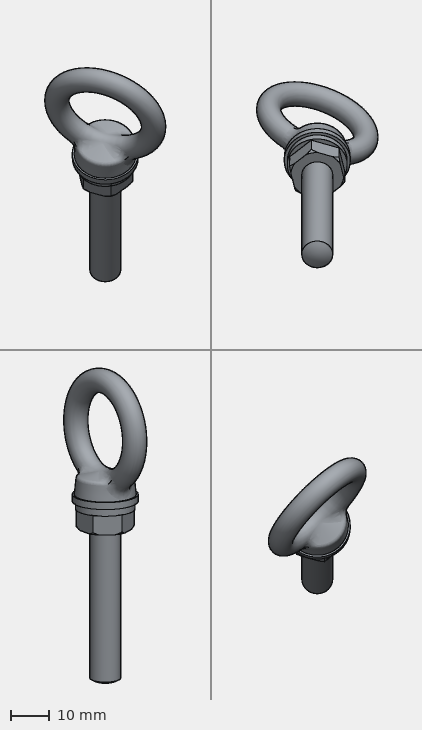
import cadquery as cq
import math

eye_diameter = 20.0
wire_diameter = 6.3
wire_radius = wire_diameter / 2
ring_radius = (eye_diameter + wire_diameter) / 2

hex_height = 5.3
collar_diameter = 15.4
collar_height = 2.0
flange_diameter = 17.0
flange_height = 1.85
collar_bottom = hex_height
flange_bottom = collar_bottom + collar_height
base_bottom = flange_bottom + flange_height

base_bottom_radius = 8.0
base_side_height = 4.9
base_side_draft = 6.0
rim_fillet = 1.0
ring_blend = 3.5
base_top_radius = base_bottom_radius - base_side_height * math.tan(math.radians(base_side_draft))
rim_level = base_bottom + base_side_height
ring_center_level = 26.0
apex_drop = 0.02
apex_level = ring_center_level - eye_diameter / 2 - apex_drop

hex_across_flats = 13.0
hex_across_corners = hex_across_flats / math.cos(math.pi / 6)
hex_end_radius = 6.8
hex_chamfer_angle = 45.0
stud_diameter = 8.0
stud_radius = stud_diameter / 2
stud_length = 39.8
tip_height = 1.2


def make_eye():
    """Round-wire ring blended into a tapered base."""
    base = (
        cq.Workplane("XZ")
        .moveTo(0, base_bottom)
        .lineTo(base_bottom_radius, base_bottom)
        .lineTo(base_top_radius, rim_level)
        .lineTo(0, apex_level)
        .close()
        .revolve(360, (0, 0, 0), (0, 1, 0))
    )
    rim = cq.selectors.NearestToPointSelector((0, 0, rim_level))
    base = base.edges("%CIRCLE").edges(rim).fillet(rim_fillet)
    ring_center = cq.Vector(0, 0, ring_center_level)
    ring_axis = cq.Vector(0, 1, 0)
    ring = cq.Workplane(cq.Solid.makeTorus(ring_radius, wire_radius, ring_center, ring_axis))
    return base.union(ring).edges("%BSPLINE").fillet(ring_blend)


def make_disc(diameter, height, bottom):
    """Plain round disc in the stack between the eye and the hexagon."""
    return cq.Workplane("XY", origin=(0, 0, bottom)).circle(diameter / 2).extrude(height)


def make_stud():
    """Hexagon, chamfered at its lower corners, with a round-ended stud below it."""
    hexagon = cq.Workplane("XY").polygon(6, hex_across_corners).extrude(hex_height)
    envelope_radius = hex_end_radius + hex_height * math.tan(math.radians(hex_chamfer_angle))
    envelope = (
        cq.Workplane("XZ")
        .lineTo(hex_end_radius, 0)
        .lineTo(envelope_radius, hex_height)
        .lineTo(0, hex_height)
        .close()
        .revolve(360, (0, 0, 0), (0, 1, 0))
    )
    tip_radius = (stud_radius**2 + tip_height**2) / (2 * tip_height)
    tip_half_angle = math.asin(stud_radius / tip_radius) / 2
    tip_middle = (
        tip_radius * math.sin(tip_half_angle),
        -stud_length - tip_height + tip_radius * (1 - math.cos(tip_half_angle)),
    )
    shank = (
        cq.Workplane("XZ")
        .lineTo(stud_radius, 0)
        .lineTo(stud_radius, -stud_length)
        .threePointArc(tip_middle, (0, -stud_length - tip_height))
        .close()
        .revolve(360, (0, 0, 0), (0, 1, 0))
    )
    return hexagon.intersect(envelope).union(shank)


eye = make_eye()
flange = make_disc(flange_diameter, flange_height, flange_bottom)
collar = make_disc(collar_diameter, collar_height, collar_bottom)
stud = make_stud()
result = cq.Compound.makeCompound([eye.val(), flange.val(), collar.val(), stud.val()])